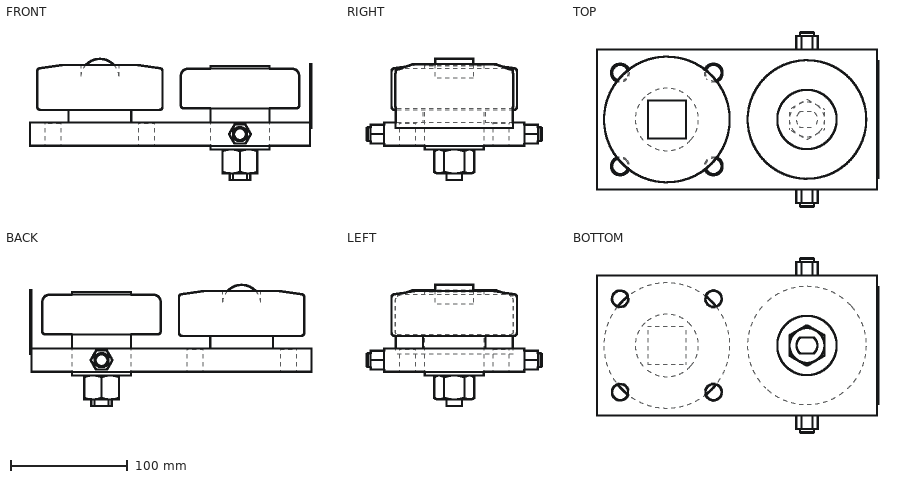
import cadquery as cq
import math


hexagon_sides = 6

plate_length = 240.0
plate_width = plate_length / 2
plate_thickness = 20.0
fixed_roller_x = plate_length / 4
pin_roller_x = plate_length * 3 / 4

hole_pitch = 80.0
hole_diameter = 13.8
hole_chamfer = 1.0
hole_chamfer_angle = 90

fixed_post_diameter = 53.9
fixed_diameter = 107.7
fixed_bottom = 10.6
fixed_shoulder = 46.5
fixed_top = 49.3
fixed_face_diameter = 65.0
fixed_edge_radius = 3.0

axial_diameter = 32.5
axial_length = axial_diameter
axial_top = 54.5

clamp_hex_flats = 16.2
clamp_hex_length = 11.5
clamp_reach = 15.0
clamp_tip_diameter = 12.0
clamp_tip_chamfer = 1.0

wiper_thickness = 1.5
wiper_width = 100.5
wiper_top = 50.0
wiper_bottom = -4.8
wiper_corner_width = 15.0
wiper_corner_height = 5.0

pin_shaft_diameter = 51.0
pin_shaft_top = 48.5
pin_shaft_bottom = -23.2
pin_wheel_diameter = 101.7
pin_wheel_bottom = 12.0
pin_wheel_top = 46.1
pin_wheel_top_radius = 6.3
pin_wheel_bottom_radius = 2.5
nut_flats = 30.0
nut_turn = 90
nut_bottom = -43.7
nut_chamfer_angle = 30
stud_diameter = 17.9
stud_flats = 13.5
stud_bottom = -49.5


def cylinder(x, diameter, bottom, top):
    """Upright cylinder on the plate's centre line."""
    return cq.Workplane("XY", origin=(x, 0, bottom)).circle(diameter / 2).extrude(top - bottom)


def hexagon_corners(flats):
    """Diameter over the corners of a hexagon with the given width across flats."""
    return flats / math.cos(math.pi / hexagon_sides)


def make_plate():
    plate = cq.Workplane("XY").box(
        plate_length, plate_width, plate_thickness, centered=(False, True, False)
    )
    plate = plate.translate((0, 0, -plate_thickness))
    return (
        plate.faces(">Z")
        .workplane(origin=(fixed_roller_x, 0, 0))
        .rect(hole_pitch, hole_pitch, forConstruction=True)
        .vertices()
        .cskHole(hole_diameter, hole_diameter + 2 * hole_chamfer, hole_chamfer_angle)
    )


def make_fixed_roller():
    rim = cylinder(fixed_roller_x, fixed_diameter, fixed_bottom, fixed_shoulder)
    rim = rim.faces("<Z or >Z").edges().fillet(fixed_edge_radius)
    shoulder_diameter = fixed_diameter - 2 * fixed_edge_radius
    cone = (
        cq.Workplane("XY", origin=(fixed_roller_x, 0, fixed_shoulder))
        .circle(shoulder_diameter / 2)
        .workplane(offset=fixed_top - fixed_shoulder)
        .circle(fixed_face_diameter / 2)
        .loft(ruled=True)
    )
    post = cylinder(fixed_roller_x, fixed_post_diameter, 0, fixed_bottom)

    axial_axis = axial_top - axial_diameter / 2
    pocket = cq.Workplane("XY", origin=(fixed_roller_x, 0, axial_axis)).box(
        axial_diameter, axial_length, axial_diameter, centered=(True, True, False)
    )
    axial_roller = (
        cq.Workplane("XZ", origin=(fixed_roller_x, axial_length / 2, axial_axis))
        .circle(axial_diameter / 2)
        .extrude(axial_length)
    )
    return rim.union(cone).union(post).cut(pocket).union(axial_roller)


def make_clamp_screw():
    """Clamping screw on the -Y side of the plate."""
    face = cq.Workplane("XZ", origin=(pin_roller_x, -plate_width / 2, -plate_thickness / 2))
    hexagon = face.polygon(hexagon_sides, hexagon_corners(clamp_hex_flats)).extrude(clamp_hex_length)
    tip = face.circle(clamp_tip_diameter / 2).extrude(clamp_reach)
    tip = tip.faces("<Y").edges().chamfer(clamp_tip_chamfer)
    return hexagon.union(tip)


def make_wiper():
    half_width = wiper_width / 2
    corner_y = half_width - wiper_corner_width
    corner_z = wiper_top - wiper_corner_height
    return (
        cq.Workplane("YZ", origin=(plate_length, 0, 0))
        .polyline([
            (-half_width, wiper_bottom),
            (half_width, wiper_bottom),
            (half_width, corner_z),
            (corner_y, wiper_top),
            (-corner_y, wiper_top),
            (-half_width, corner_z),
        ])
        .close()
        .extrude(wiper_thickness)
    )


def make_base():
    """Plate with the fixed roller, clamping screws and wiper; bored for the pin roller."""
    clamp_screw = make_clamp_screw()
    shaft_bore = cylinder(pin_roller_x, pin_shaft_diameter, -plate_thickness, 0)
    return (
        make_plate()
        .cut(shaft_bore)
        .union(make_fixed_roller())
        .union(clamp_screw)
        .union(clamp_screw.mirror("XZ"))
        .union(make_wiper())
    )


def make_nut():
    """Hexagon nut with corners on the Y axis, chamfered at both ends."""
    height = pin_shaft_bottom - nut_bottom
    corners = hexagon_corners(nut_flats)
    hexagon = (
        cq.Workplane("XY", origin=(pin_roller_x, 0, nut_bottom))
        .transformed(rotate=(0, 0, nut_turn))
        .polygon(hexagon_sides, corners)
        .extrude(height)
    )
    chamfer_width = (corners - nut_flats) / 2
    chamfer_height = chamfer_width * math.tan(math.radians(nut_chamfer_angle))
    envelope = cylinder(pin_roller_x, corners, nut_bottom, pin_shaft_bottom)
    envelope = envelope.faces(">Z").edges().chamfer(chamfer_height, chamfer_width)
    envelope = envelope.faces("<Z").edges().chamfer(chamfer_height, chamfer_width)
    return hexagon.intersect(envelope)


def make_stud():
    """Threaded end with two flats facing -Y and +Y."""
    height = nut_bottom - stud_bottom
    flats = cq.Workplane("XY", origin=(pin_roller_x, 0, stud_bottom)).box(
        stud_diameter, stud_flats, height, centered=(True, True, False)
    )
    return cylinder(pin_roller_x, stud_diameter, stud_bottom, nut_bottom).intersect(flats)


def make_pin_roller():
    wheel = cylinder(pin_roller_x, pin_wheel_diameter, pin_wheel_bottom, pin_wheel_top)
    wheel = wheel.faces(">Z").edges().fillet(pin_wheel_top_radius)
    wheel = wheel.faces("<Z").edges().fillet(pin_wheel_bottom_radius)
    shaft = cylinder(pin_roller_x, pin_shaft_diameter, pin_shaft_bottom, pin_shaft_top)
    return wheel.union(shaft).union(make_nut()).union(make_stud())


base = make_base()
pin_roller = make_pin_roller()

result = cq.Compound.makeCompound([base.val(), pin_roller.val()])